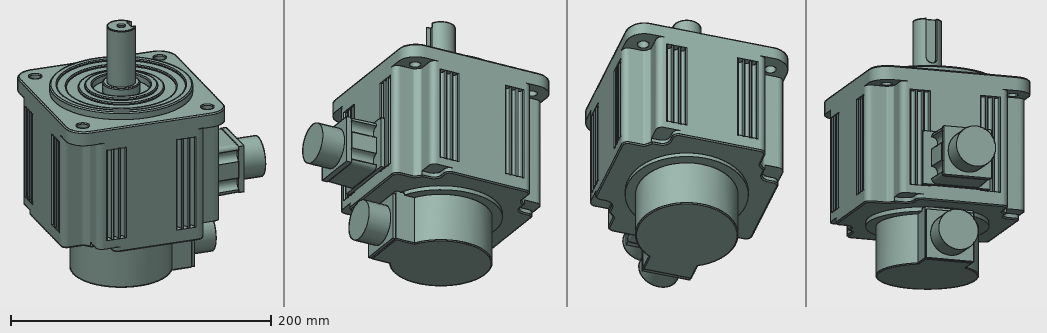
import cadquery as cq
import math


shaft_top = 55.0
collar_top = 8.3
pilot_height = 6.0
flange_thickness = 11.3
fins_top = -17.6
fins_bottom = -93.2
body_bottom = -104.3
disc_bottom = -107.7
overall_height = 202.5
part_bottom = shaft_top - overall_height

body_half = 65.0
flange_corner_radius = 15.0
flange_chamfer = 1.0
bolt_offset = 51.2
bolt_radius = 4.5
bolt_chamfer = 0.8
bolt_chamfer_angle = 90

pilot_radius = 55.0
pilot_chamfer = 1.0
step_radii = (50.2, 43.1, 33.2, 28.1)
step_depth = 1.6
step_chamfer = 0.8
recess_radius = 23.3
recess_chamfer = 0.8
recess_floor = 0.5
collar_radius = 14.4
collar_chamfer = 0.8
shaft_radius = 11.1
shaft_chamfer = 0.6
keyway_width = 9.0
keyway_floor = 6.5
keyway_bottom = 19.6
center_hole_radius = 2.5
center_hole_chamfer = 0.8
center_hole_depth = 12.2

arm_half = 44.0
arm_round_radius = 5.0
notch_depth = 15.8
corner_round_radius = 2.6
body_chamfer = 1.0

groove_count = 3
groove_pitch = 5.5
grooves_start = 20.5
groove_width = 3.6
groove_mouth_chamfer = 0.91
groove_depth = 5.0

pocket_height = 4.3
pocket_end = 26.0
pocket_inner_radius = 6.5
pocket_outer_radius = 4.9

disc_radius = 47.4
encoder_radius = 39.5
encoder_chamfer = 0.8
encoder_box_half = 19.6
encoder_box_top = -106.0
encoder_box_end = 50.6
encoder_plate_end = 53.0
encoder_plug_end = 72.0
encoder_plug_z = -127.5

base_half_width = 27.3
base_half_height = 21.0
base_end = 68.0
power_z = -71.5
power_body_half = 20.5
power_body_radius = 4.0
power_body_end = 89.3
power_body_draft = 2
scoop_radius = 4.9
scoop_offset = 11.7
power_plate_end = 93.8
overall_depth = 177.8
power_plug_end = overall_depth - body_half

plug_plate_side = 38.5
plug_radius = 16.0


def disc(radius, bottom, top):
    return cq.Workplane("XY").workplane(offset=bottom).circle(radius).extrude(top - bottom)


def block_along_y(start, end, width, height, z):
    return cq.Workplane("XY").box(width, end - start, height).translate((0, (start + end) / 2, z))


def rod_along_y(start, end, radius, x, z):
    axis_start = cq.Vector(x, start, z)
    return cq.Workplane(cq.Solid.makeCylinder(radius, end - start, axis_start, cq.Vector(0, 1, 0)))


def on_each_side(shape):
    """Repeat a shape made for the -Y side on all four sides."""
    return [shape.rotate((0, 0, 0), (0, 0, 1), 90 * i) for i in range(4)]


def notched_outline():
    """Outline of the body: four arms with rounded ends and softly chamfered inner corners."""
    diagonal = math.sqrt(0.5)
    round_center = (arm_half - arm_round_radius, body_half - arm_round_radius)
    flat_end = (round_center[0], body_half)
    round_mid = (
        round_center[0] + arm_round_radius * diagonal,
        round_center[1] + arm_round_radius * diagonal,
    )
    round_end = (arm_half, round_center[1])
    wall_end = (arm_half, body_half - notch_depth)
    half_arc = math.pi / 8
    corner_mid = (
        arm_half + corner_round_radius * (1 - math.cos(half_arc)),
        wall_end[1] - corner_round_radius * math.sin(half_arc),
    )
    corner_end = (
        arm_half + corner_round_radius * (1 - diagonal),
        wall_end[1] - corner_round_radius * diagonal,
    )

    def place(point, turn, side):
        across, out = side * point[0], point[1]
        angle = turn * math.pi / 2
        return (
            out * math.cos(angle) - across * math.sin(angle),
            out * math.sin(angle) + across * math.cos(angle),
        )

    sketch = cq.Workplane("XY").workplane(offset=body_bottom).moveTo(*place(corner_end, 0, -1))
    for turn in range(4):
        if turn > 0:
            sketch = sketch.lineTo(*place(corner_end, turn, -1))
        sketch = sketch.threePointArc(place(corner_mid, turn, -1), place(wall_end, turn, -1))
        sketch = sketch.lineTo(*place(round_end, turn, -1))
        sketch = sketch.threePointArc(place(round_mid, turn, -1), place(flat_end, turn, -1))
        sketch = sketch.lineTo(*place(flat_end, turn, 1))
        sketch = sketch.threePointArc(place(round_mid, turn, 1), place(round_end, turn, 1))
        sketch = sketch.lineTo(*place(wall_end, turn, 1))
        sketch = sketch.threePointArc(place(corner_mid, turn, 1), place(corner_end, turn, 1))
    return sketch.close()


def make_groove(x):
    """Round-bottomed groove with a chamfered mouth, cut into the -Y side."""
    half = groove_width / 2
    mouth = half + groove_mouth_chamfer
    floor_y = groove_depth - body_half
    return (
        cq.Workplane("XY")
        .workplane(offset=fins_bottom)
        .moveTo(x - mouth, -body_half)
        .lineTo(x - half, groove_mouth_chamfer - body_half)
        .lineTo(x - half, floor_y - half)
        .threePointArc((x, floor_y), (x + half, floor_y - half))
        .lineTo(x + half, groove_mouth_chamfer - body_half)
        .lineTo(x + mouth, -body_half)
        .close()
        .extrude(fins_top - fins_bottom)
    )


def make_pocket():
    """Pocket open to the notch at the -X end of the -Y arm, with an S-curved end."""
    floor_y = notch_depth - body_half
    wall_x = -pocket_end - pocket_outer_radius
    diagonal = math.sqrt(0.5)
    inner_mid = (
        wall_x - pocket_inner_radius * (1 - diagonal),
        floor_y - pocket_inner_radius * (1 - diagonal),
    )
    outer_mid = (
        -pocket_end - pocket_outer_radius * diagonal,
        -body_half + pocket_outer_radius * (1 - diagonal),
    )
    return (
        cq.Workplane("XY")
        .workplane(offset=body_bottom)
        .moveTo(-arm_half, floor_y)
        .lineTo(wall_x - pocket_inner_radius, floor_y)
        .threePointArc(inner_mid, (wall_x, floor_y - pocket_inner_radius))
        .lineTo(wall_x, -body_half + pocket_outer_radius)
        .threePointArc(outer_mid, (-pocket_end, -body_half))
        .lineTo(-arm_half, -body_half)
        .close()
        .extrude(pocket_height)
    )


def make_body():
    body = notched_outline().extrude(-body_bottom - flange_thickness)
    for i in range(groove_count):
        x = grooves_start + (i + 0.5) * groove_pitch
        for side in (-1, 1):
            for groove in on_each_side(make_groove(side * x)):
                body = body.cut(groove)
    for pocket in on_each_side(make_pocket()):
        body = body.cut(pocket)
    return body.faces("<Z").edges().chamfer(body_chamfer)


def make_flange():
    flange = (
        cq.Workplane("XY")
        .rect(2 * body_half, 2 * body_half)
        .extrude(-flange_thickness)
        .edges("|Z")
        .fillet(flange_corner_radius)
        .faces(">Z")
        .edges()
        .chamfer(flange_chamfer)
    )
    return (
        flange.faces(">Z")
        .workplane(origin=(0, 0, 0))
        .rect(2 * bolt_offset, 2 * bolt_offset, forConstruction=True)
        .vertices()
        .cskHole(2 * bolt_radius, 2 * (bolt_radius + bolt_chamfer), bolt_chamfer_angle)
    )


def make_front():
    """Stepped pilot, collar and shaft end, turned about the Z axis."""
    ring_1, ring_2, ring_3, ring_4 = step_radii
    mid_level = pilot_height - step_depth
    low_level = pilot_height - 2 * step_depth
    profile = [
        (0, -flange_thickness),
        (pilot_radius, -flange_thickness),
        (pilot_radius, pilot_height - pilot_chamfer),
        (pilot_radius - pilot_chamfer, pilot_height),
        (ring_1, pilot_height),
        (ring_1 - step_chamfer, pilot_height - step_chamfer),
        (ring_1 - step_chamfer, mid_level),
        (ring_2, mid_level),
        (ring_2 - step_chamfer, mid_level - step_chamfer),
        (ring_2 - step_chamfer, low_level),
        (ring_3, low_level),
        (ring_3, mid_level - step_chamfer),
        (ring_3 - step_chamfer, mid_level),
        (ring_4, mid_level),
        (ring_4, pilot_height - step_chamfer),
        (ring_4 - step_chamfer, pilot_height),
        (recess_radius, pilot_height),
        (recess_radius - recess_chamfer, pilot_height - recess_chamfer),
        (recess_radius - recess_chamfer, recess_floor),
        (collar_radius, recess_floor),
        (collar_radius, collar_top - collar_chamfer),
        (collar_radius - collar_chamfer, collar_top),
        (shaft_radius, collar_top),
        (shaft_radius, shaft_top - shaft_chamfer),
        (shaft_radius - shaft_chamfer, shaft_top),
        (center_hole_radius + center_hole_chamfer, shaft_top),
        (center_hole_radius, shaft_top - center_hole_chamfer),
        (center_hole_radius, shaft_top - center_hole_depth),
        (0, shaft_top - center_hole_depth - center_hole_radius),
    ]
    front = cq.Workplane("XZ").polyline(profile).close().revolve(360, (0, 0, 0), (0, 1, 0))
    round_z = keyway_bottom + keyway_width / 2
    keyway_end = keyway_floor + shaft_radius
    keyway_mid = (keyway_floor + keyway_end) / 2
    slot_height = shaft_top - round_z
    keyway = cq.Workplane("XY").box(keyway_width, keyway_end - keyway_floor, slot_height)
    keyway = keyway.translate((0, keyway_mid, round_z + slot_height / 2))
    keyway = keyway.union(rod_along_y(keyway_floor, keyway_end, keyway_width / 2, 0, round_z))
    return front.cut(keyway)


def make_plug(plate_start, plate_end, plug_end, z):
    plate = block_along_y(plate_start, plate_end, plug_plate_side, plug_plate_side, z)
    return plate.union(rod_along_y(plate_start, plug_end, plug_radius, 0, z))


def make_encoder():
    box_height = encoder_box_top - part_bottom
    box_z = (encoder_box_top + part_bottom) / 2
    encoder = disc(encoder_radius, part_bottom, body_bottom)
    encoder = encoder.union(block_along_y(0, encoder_box_end, 2 * encoder_box_half, box_height, box_z))
    encoder = encoder.faces("<Z").edges().chamfer(encoder_chamfer)
    encoder = encoder.union(disc(disc_radius, disc_bottom, body_bottom))
    return encoder.union(make_plug(encoder_box_end, encoder_plate_end, encoder_plug_end, encoder_plug_z))


def make_power_connector():
    base = block_along_y(body_half, base_end, 2 * base_half_width, 2 * base_half_height, power_z)
    housing = (
        cq.Workplane("XZ", origin=(0, base_end, power_z))
        .sketch()
        .rect(2 * power_body_half, 2 * power_body_half)
        .vertices()
        .fillet(power_body_radius)
        .finalize()
        .extrude(base_end - power_body_end, taper=power_body_draft)
    )
    for x in (-power_body_half, power_body_half):
        for z in (power_z - scoop_offset, power_z + scoop_offset):
            housing = housing.cut(rod_along_y(base_end, power_body_end, scoop_radius, x, z))
    plug = make_plug(power_body_end, power_plate_end, power_plug_end, power_z)
    return base.union(housing).union(plug)


result = make_body().union(make_flange()).union(make_front()).union(make_encoder())
result = result.union(make_power_connector())